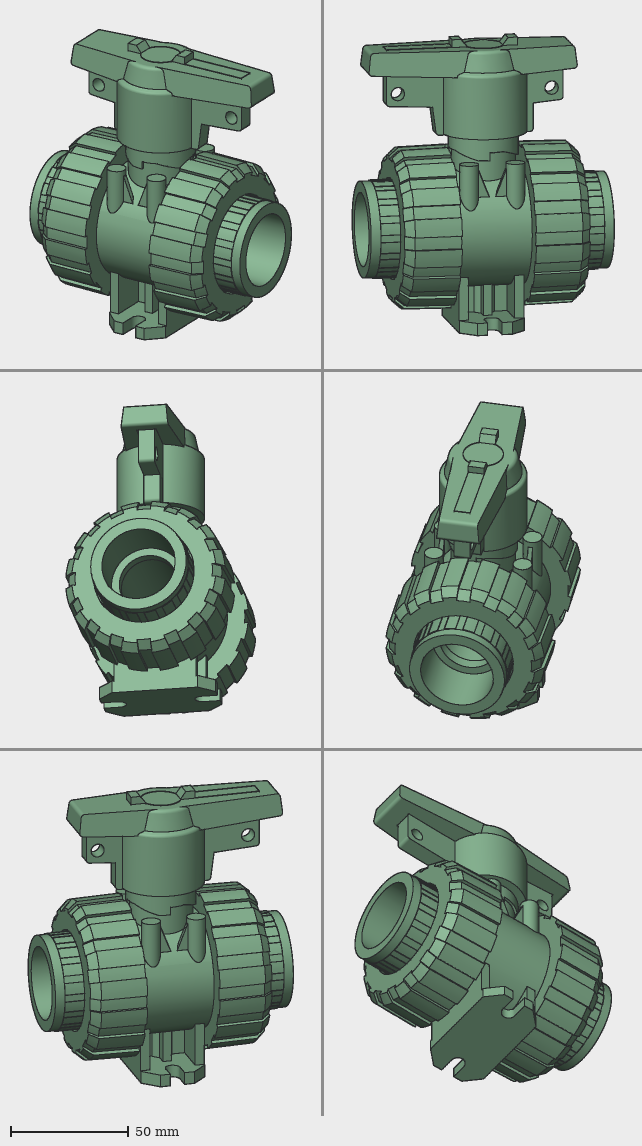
import cadquery as cq
import math


BORE_R = 12.5
BODY_R = 26.0
BODY_HALF = 25.0

END_X = 53.0
LIP_X = 48.7
LIP_R = 20.7
SLEEVE_R = 21.1
SOCKET_R = 15.9
SOCKET_BOTTOM_X = 30.0

NUT_OPEN_X = 16.1
NUT_CHAMFER_X = 36.5
NUT_FACE_X = 40.4
NUT_SEAT_X = 36.2
NUT_R = 70.1 / 2
NUT_TAPER = 0.4
NUT_CHAMFER = 3.4
NUT_HOLE_R = 21.9
TOOTH_H = 1.5
GRIP_COUNT = 16
GRIP_W = 5.7
FLUTE_W = 3.1

FOOT_BOTTOM = -43.0
FOOT_TOP = -37.6
FOOT_X = 28.4
FOOT_Y = 50.5
FOOT_CHAMFER = 6.6
FOOT_SLOT_W = 6.4
FOOT_SLOT_CENTRE_Y = 18.1
WALL_T = 4.1
WALL_Y = 35.6
RIB_T = 3.7
RIB_Y = 19.4
BOSS_R = 4.9

NECK_R = 13.9
NECK_TOP = 41.0
PILLAR_R = 8.1 / 2
PILLAR_X = 20.1 / 2
PILLAR_Y = 19.4
PILLAR_TOP = 30.7
GUSSET_OUTER_Y = 20.2
GUSSET_T = 2.0
GUSSET_TOP = 28.1
GUSSET_FOOT_X = 1.4
GUSSET_FOOT_Z = 16.4

COLLAR_R = 15.0
COLLAR_BOTTOM = 31.0
COLLAR_TOP = 53.7
CAM_RISE = 3.4
CAM_START = 25.0
CAM_END = 70.0
QUADRANT_MIDDLE = 45.0
DRUM_R = 18.7
DRUM_BOTTOM = 41.0
DRUM_TOP = 67.3
SHOULDER_R = 17.7
SHOULDER_Z = 68.8
CONE_BASE_R = 16.6
CONE_BASE_Z = 69.6
CONE_TOP_R = 14.6
CONE_EDGE_R = 1.9
HANDLE_TOP = 78.6
DISC_R = 8.6
RAISE = 0.2
GRIP_LEFT_X = -39.4
GRIP_RIGHT_X = 52.0
GRIP_LEFT_Y = 10.4
GRIP_RIGHT_Y = 9.6
GRIP_MIDDLE_Y = 13.9
GRIP_LOW_Z = 66.7
GRIP_END_Z = 68.8
GRIP_DRAFT = 6.5
GRIP_END_R = 1.7
GRIP_TIP_R = 1.5
SLOT_W = 8.5
SLOT_TOP = 70.0

INSERT_T = 7.0
INSERT_LEFT_X = -34.1
INSERT_RIGHT_X = 42.9
WING_BOTTOM = 54.0
WING_ROOT_Z = 52.8
LEG_BOTTOM = 40.5
LEG_X = 21.1
LEG_RIGHT_ROOT_X = 22.7
INSERT_CORNER_R = 1.5
KEY_HOLE_R = 2.9
KEY_HOLE_Z = 59.2
KEY_HOLE_INSET = 5.0
PRONG_OUTER_X = 14.2
PRONG_TOP_X = 10.1
PRONG_FOOT_X = 7.7
PRONG_TOP = 82.0


def cylinder(radius, bottom, top):
    """Upright cylinder on the stem axis."""
    return cq.Workplane("XY").workplane(offset=bottom).circle(radius).extrude(top - bottom)


def block(x0, x1, y0, y1, z0, z1):
    """Box between two opposite corners."""
    return cq.Workplane("XY").box(x1 - x0, y1 - y0, z1 - z0, centered=False).translate((x0, y0, z0))


def pipe_cylinder(radius, x0, x1):
    """Cylinder on the pipe axis."""
    return cq.Workplane("YZ").workplane(offset=x0).circle(radius).extrude(x1 - x0)


def revolve_on_pipe(points):
    """Ring turned about the pipe axis from (x, radius) points."""
    return cq.Workplane("XY").polyline(points).close().revolve(360, (0, 0, 0), (1, 0, 0))


def grip_bars(width, inner_r, outer_r, x0, x1):
    """Radial bars, evenly spaced around the pipe axis."""
    bar = block(x0, x1, -width / 2, width / 2, inner_r, outer_r)
    bars = cq.Workplane("XY")
    for i in range(GRIP_COUNT):
        bars = bars.add(bar.rotate((0, 0, 0), (1, 0, 0), i * 360 / GRIP_COUNT))
    return bars.combine()


def make_foot():
    height = FOOT_TOP - FOOT_BOTTOM
    plate = cq.Workplane("XY").workplane(offset=FOOT_BOTTOM).rect(FOOT_X, FOOT_Y).extrude(height)
    plate = plate.edges("|Z").chamfer(FOOT_CHAMFER)
    for turn in (0, 180):
        slot = cylinder(FOOT_SLOT_W / 2, FOOT_BOTTOM, FOOT_TOP).union(
            block(-FOOT_SLOT_W / 2, FOOT_SLOT_W / 2, 0, FOOT_Y, FOOT_BOTTOM, FOOT_TOP)
        )
        slot = slot.translate((0, FOOT_SLOT_CENTRE_Y, 0))
        plate = plate.cut(slot.rotate((0, 0, 0), (0, 0, 1), turn))
    support_top = -BODY_R / 2
    half_x = FOOT_X / 2
    for x0 in (-half_x, half_x - WALL_T):
        plate = plate.union(block(x0, x0 + WALL_T, -WALL_Y / 2, WALL_Y / 2, FOOT_TOP, support_top))
    plate = plate.union(block(-RIB_T / 2, RIB_T / 2, -RIB_Y / 2, RIB_Y / 2, FOOT_TOP, support_top))
    plate = plate.union(block(-half_x, half_x, -RIB_T / 2, RIB_T / 2, FOOT_TOP, support_top))
    return plate.union(cylinder(BOSS_R, FOOT_TOP, support_top))


def make_pillar():
    """Pillar with its triangular gusset, in the +X +Y quadrant."""
    pillar = cylinder(PILLAR_R, 0, PILLAR_TOP).translate((PILLAR_X, PILLAR_Y, 0))
    gusset = (
        cq.Workplane("XZ", origin=(0, GUSSET_OUTER_Y, 0))
        .moveTo(PILLAR_X, GUSSET_FOOT_Z)
        .lineTo(GUSSET_FOOT_X, GUSSET_FOOT_Z)
        .lineTo(PILLAR_X - PILLAR_R, GUSSET_TOP)
        .lineTo(PILLAR_X, GUSSET_TOP)
        .close()
        .extrude(GUSSET_T)
    )
    return pillar.union(gusset)


def make_body():
    body = pipe_cylinder(BODY_R, -BODY_HALF, BODY_HALF)
    body = body.union(make_foot()).union(cylinder(NECK_R, 0, NECK_TOP))
    pillar = make_pillar()
    mirrored = pillar.mirror("YZ")
    for turn in (0, 180):
        for item in (pillar, mirrored):
            body = body.union(item.rotate((0, 0, 0), (0, 0, 1), turn))
    return body.cut(pipe_cylinder(BORE_R, -BODY_HALF, BODY_HALF))


def make_end():
    outline = [
        (BODY_HALF, BORE_R),
        (BODY_HALF, BODY_R),
        (NUT_SEAT_X, BODY_R),
        (NUT_SEAT_X, SLEEVE_R),
        (LIP_X, SLEEVE_R),
        (LIP_X, LIP_R),
        (END_X, LIP_R),
        (END_X, SOCKET_R),
        (SOCKET_BOTTOM_X, SOCKET_R),
        (SOCKET_BOTTOM_X, BORE_R),
    ]
    flutes = grip_bars(FLUTE_W, LIP_R, BODY_R, NUT_SEAT_X, LIP_X)
    return revolve_on_pipe(outline).cut(flutes)


def nut_ring(drop):
    """Nut without grooves, with its outside lowered by drop."""
    edge_r = NUT_R - NUT_TAPER - drop
    return revolve_on_pipe(
        [
            (NUT_OPEN_X, BODY_R),
            (NUT_OPEN_X, NUT_R - drop),
            (NUT_CHAMFER_X, edge_r),
            (NUT_FACE_X, edge_r - NUT_CHAMFER),
            (NUT_FACE_X, NUT_HOLE_R),
            (NUT_SEAT_X, NUT_HOLE_R),
            (NUT_SEAT_X, BODY_R),
        ]
    )


def make_nut():
    grooves = grip_bars(GRIP_W, BODY_R, NUT_R + TOOTH_H, NUT_OPEN_X, NUT_FACE_X)
    grooves = grooves.cut(nut_ring(TOOTH_H))
    return nut_ring(0).cut(grooves)


def cam_cutter():
    """Space under the collar in one quadrant, below a ramp that falls as the angle grows."""
    ramp_start = COLLAR_R * math.sin(math.radians(CAM_START - QUADRANT_MIDDLE))
    ramp_end = COLLAR_R * math.sin(math.radians(CAM_END - QUADRANT_MIDDLE))
    high = COLLAR_BOTTOM + CAM_RISE
    ramp = (
        cq.Workplane("YZ")
        .moveTo(-COLLAR_R, COLLAR_BOTTOM)
        .lineTo(-COLLAR_R, high)
        .lineTo(ramp_start, high)
        .lineTo(ramp_end, COLLAR_BOTTOM)
        .close()
        .extrude(2 * COLLAR_R)
        .rotate((0, 0, 0), (0, 0, 1), QUADRANT_MIDDLE)
    )
    return ramp.intersect(block(0, COLLAR_R, 0, COLLAR_R, COLLAR_BOTTOM, high))


def make_collar():
    collar = cylinder(COLLAR_R, COLLAR_BOTTOM, COLLAR_TOP)
    cutter = cam_cutter()
    for i in range(4):
        collar = collar.cut(cutter.rotate((0, 0, 0), (0, 0, 1), 90 * i))
    return collar.cut(cylinder(NECK_R, COLLAR_BOTTOM, NECK_TOP))


def make_grip():
    """Tapered bar, widest at the stem axis, with an underside that rises to both ends."""
    grip = (
        cq.Workplane("XY")
        .workplane(offset=GRIP_LOW_Z)
        .moveTo(GRIP_LEFT_X, -GRIP_LEFT_Y)
        .lineTo(0, -GRIP_MIDDLE_Y)
        .lineTo(GRIP_RIGHT_X, -GRIP_RIGHT_Y)
        .lineTo(GRIP_RIGHT_X, GRIP_RIGHT_Y)
        .lineTo(0, GRIP_MIDDLE_Y)
        .lineTo(GRIP_LEFT_X, GRIP_LEFT_Y)
        .close()
        .extrude(HANDLE_TOP - GRIP_LOW_Z, taper=GRIP_DRAFT)
    )
    underside = (
        cq.Workplane("XZ")
        .moveTo(GRIP_LEFT_X, GRIP_LOW_Z)
        .lineTo(GRIP_LEFT_X, GRIP_END_Z)
        .lineTo(0, GRIP_LOW_Z)
        .lineTo(GRIP_RIGHT_X, GRIP_END_Z)
        .lineTo(GRIP_RIGHT_X, GRIP_LOW_Z)
        .close()
        .extrude(GRIP_MIDDLE_Y, both=True)
    )
    grip = grip.faces(">Z").edges("|Y").fillet(GRIP_END_R).cut(underside)
    for end_face in ("<X", ">X"):
        grip = grip.faces(end_face).edges("<Z").fillet(GRIP_TIP_R)
    return grip


def make_hub():
    """Drum with a rounded shoulder and a cone on top."""
    hub = (
        cq.Workplane("XZ")
        .moveTo(0, DRUM_BOTTOM)
        .lineTo(DRUM_R, DRUM_BOTTOM)
        .lineTo(DRUM_R, DRUM_TOP)
        .tangentArcPoint((SHOULDER_R, SHOULDER_Z), relative=False)
        .lineTo(CONE_BASE_R, CONE_BASE_Z)
        .lineTo(CONE_TOP_R, HANDLE_TOP)
        .lineTo(0, HANDLE_TOP)
        .close()
        .revolve(360, (0, 0, 0), (0, 1, 0))
    )
    return hub.faces(">Z").edges().fillet(CONE_EDGE_R)


def make_handle(insert):
    slot = block(INSERT_LEFT_X, INSERT_RIGHT_X, -SLOT_W / 2, SLOT_W / 2, DRUM_BOTTOM, SLOT_TOP)
    handle = make_hub().union(make_grip()).cut(slot)
    handle = handle.union(cylinder(DISC_R, SLOT_TOP, HANDLE_TOP + RAISE))
    return handle.union(make_collar()).cut(insert)


def make_insert():
    wings = (
        cq.Workplane("XZ")
        .moveTo(INSERT_LEFT_X, SLOT_TOP)
        .lineTo(INSERT_LEFT_X, WING_BOTTOM)
        .lineTo(-LEG_X, WING_ROOT_Z)
        .lineTo(-LEG_X, LEG_BOTTOM)
        .lineTo(LEG_X, LEG_BOTTOM)
        .lineTo(LEG_RIGHT_ROOT_X, WING_ROOT_Z)
        .lineTo(INSERT_RIGHT_X, WING_BOTTOM)
        .lineTo(INSERT_RIGHT_X, SLOT_TOP)
        .close()
        .extrude(INSERT_T / 2, both=True)
    )
    for end_face in ("<X", ">X"):
        wings = wings.faces(end_face).edges("<Z").fillet(INSERT_CORNER_R)
    wings = wings.faces("<Z").edges("|Y").fillet(INSERT_CORNER_R)
    hole_xs = (INSERT_LEFT_X + KEY_HOLE_INSET, INSERT_RIGHT_X - KEY_HOLE_INSET)
    holes = (
        cq.Workplane("XZ")
        .pushPoints([(x, KEY_HOLE_Z) for x in hole_xs])
        .circle(KEY_HOLE_R)
        .extrude(INSERT_T, both=True)
    )
    prong = (
        cq.Workplane("XZ")
        .moveTo(PRONG_OUTER_X, SLOT_TOP)
        .lineTo(PRONG_OUTER_X, PRONG_TOP)
        .lineTo(PRONG_TOP_X, PRONG_TOP)
        .lineTo(PRONG_FOOT_X, HANDLE_TOP + RAISE)
        .lineTo(PRONG_FOOT_X, SLOT_TOP)
        .close()
        .extrude(INSERT_T / 2, both=True)
    )
    label = block(
        PRONG_OUTER_X, INSERT_RIGHT_X, -INSERT_T / 2, INSERT_T / 2, SLOT_TOP, HANDLE_TOP + RAISE
    )
    insert = wings.cut(holes).union(prong).union(prong.mirror("YZ")).union(label)
    return insert.cut(cylinder(COLLAR_R, LEG_BOTTOM, COLLAR_TOP))


body = make_body()
insert = make_insert()
handle = make_handle(insert)
nut = make_nut()
end = make_end()
nuts = [nut, nut.mirror("YZ")]
ends = [end, end.mirror("YZ")]

bodies = [body, handle, insert, *nuts, *ends]
result = cq.Compound.makeCompound([item.solids().val() for item in bodies])